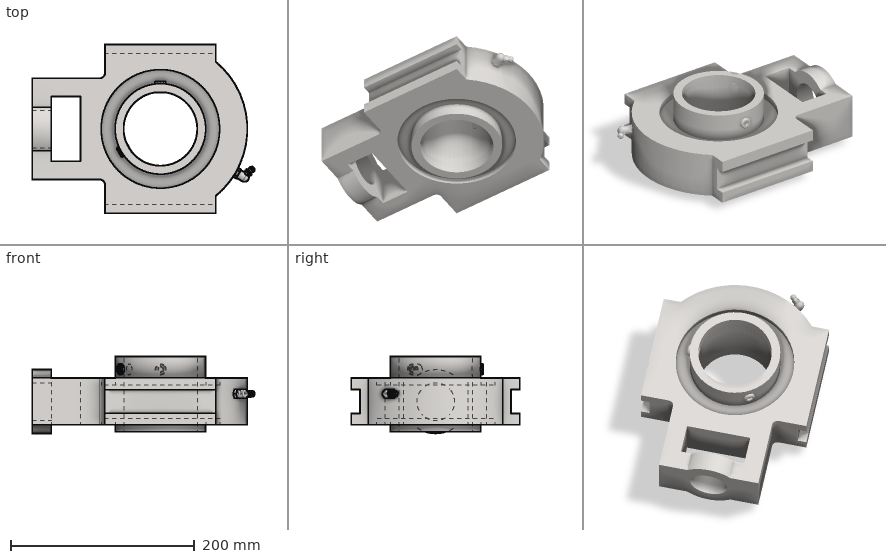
import cadquery as cq
import math


overall_length = 242.5

plate_thickness = 51.2
plate_width = 184.0
plate_half_length = 60.5
nose_radius = 94.8
arm_end_x = -139.7
arm_width = 110.4
corner_radius = 6.0

groove_height = 26.0
groove_depth = 9.7

window_start_x = -118.8
window_end_x = -87.0
window_width = 70.3
boss_diameter = 69.8
boss_hole_diameter = 41.0

recess_diameter = 129.3
recess_depth = 7.3
ring_diameter = 98.7
ring_top_z = 49.2
ring_bottom_z = -33.2
bore_diameter = 80.0

set_screw_angles = (90, 210)
set_screw_z = 35.2
set_screw_diameter = 12.0
set_screw_inner_radius = 39.5
set_screw_outer_radius = 52.1
set_screw_chamfer = 1.0
socket_corner_diameter = 7.0
socket_depth = 2.5
socket_point_depth = 2.5
socket_point_diameter = 6.0

nipple_angle = -30
nipple_z = 8.2
nipple_root_radius = 89.7
nipple_hex_end_radius = 98.5
elbow_centre_radius = 105.7
nipple_body_diameter = 10.0
spout_start_radius = 104.8
spout_angle = 43
collar_diameter = 7.0
collar_round_length = 6.0
collar_length = 8.5
spout_neck_diameter = 4.9
spout_neck_length = 9.0
spout_head_diameter = 6.5
spout_head_start = 11.5
spout_head_end = 13.0
spout_tip_diameter = 4.0

spout_start_x = spout_start_radius * math.cos(math.radians(nipple_angle))
tip_overhang_x = spout_tip_diameter / 2 * math.sin(math.radians(spout_angle))
spout_reach_x = arm_end_x + overall_length - spout_start_x - tip_overhang_x
spout_length = spout_reach_x / math.cos(math.radians(spout_angle))


def cylinder_z(diameter, bottom_z, top_z):
    """Upright cylinder on the bore axis."""
    return cq.Workplane("XY").workplane(offset=bottom_z).circle(diameter / 2).extrude(top_z - bottom_z)


def block(x_start, x_end, width, height):
    """Box between two X positions, centred on Y and Z."""
    return cq.Workplane("XY").box(x_end - x_start, width, height).translate(((x_start + x_end) / 2, 0, 0))


def radial_plane(angle, radius, z, direction=None):
    """Plane at a polar position; its normal is horizontal and its local X axis is Z."""
    position = math.radians(angle)
    heading = math.radians(angle if direction is None else direction)
    return cq.Plane(
        origin=(radius * math.cos(position), radius * math.sin(position), z),
        xDir=(0, 0, 1),
        normal=(math.cos(heading), math.sin(heading), 0),
    )


def make_plate():
    """Plate with a narrow arm on -X and a round nose on +X."""
    half_width = plate_width / 2
    half_arm = arm_width / 2
    nose_half_chord = math.sqrt(nose_radius**2 - plate_half_length**2)
    plate = (
        cq.Workplane("XY")
        .workplane(offset=-plate_thickness / 2)
        .moveTo(arm_end_x, -half_arm)
        .lineTo(-plate_half_length, -half_arm)
        .lineTo(-plate_half_length, -half_width)
        .lineTo(plate_half_length, -half_width)
        .lineTo(plate_half_length, -nose_half_chord)
        .threePointArc((nose_radius, 0), (plate_half_length, nose_half_chord))
        .lineTo(plate_half_length, half_width)
        .lineTo(-plate_half_length, half_width)
        .lineTo(-plate_half_length, half_arm)
        .lineTo(arm_end_x, half_arm)
        .close()
        .extrude(plate_thickness)
    )
    inner_corners = cq.selectors.BoxSelector(
        (-plate_half_length - corner_radius, -half_arm - corner_radius, -plate_thickness),
        (-plate_half_length + corner_radius, half_arm + corner_radius, plate_thickness),
    )
    return plate.edges("|Z").edges(inner_corners).fillet(corner_radius)


def cut_guide_grooves(body):
    """Straight groove along each long side of the plate."""
    for side in (-1, 1):
        groove = cq.Workplane("XY").box(2 * plate_half_length, 2 * groove_depth, groove_height)
        body = body.cut(groove.translate((0, side * plate_width / 2, 0)))
    return body


def add_screw_end(body):
    """Round boss with a through hole into the rectangular window."""
    boss_length = window_start_x - arm_end_x
    end_face = cq.Workplane("YZ").workplane(offset=arm_end_x)
    body = body.union(end_face.circle(boss_diameter / 2).extrude(boss_length))
    body = body.cut(block(window_start_x, window_end_x, window_width, plate_thickness))
    return body.cut(end_face.circle(boss_hole_diameter / 2).extrude(boss_length))


def add_bearing(body):
    """Shallow recess on both faces, and the inner ring with its bore."""
    face_z = plate_thickness / 2
    floor_z = face_z - recess_depth
    body = body.cut(cylinder_z(recess_diameter, floor_z, face_z))
    body = body.cut(cylinder_z(recess_diameter, -face_z, -floor_z))
    body = body.union(cylinder_z(ring_diameter, ring_bottom_z, ring_top_z))
    return body.cut(cylinder_z(bore_diameter, ring_bottom_z, ring_top_z))


def make_set_screw(angle):
    """Radial screw with a chamfered outer end and a hexagon socket that ends in a cone."""
    length = set_screw_outer_radius - set_screw_inner_radius
    plane = radial_plane(angle, set_screw_inner_radius, set_screw_z)
    outer_end = cq.selectors.DirectionMinMaxSelector(plane.zDir)
    screw = cq.Workplane(plane).circle(set_screw_diameter / 2).extrude(length)
    screw = screw.faces(outer_end).chamfer(set_screw_chamfer)

    socket_floor = cq.Workplane(plane).workplane(offset=length - socket_depth)
    socket = socket_floor.polygon(6, socket_corner_diameter).extrude(socket_depth)
    point = cq.Solid.makeCone(
        socket_point_diameter / 2, 0, socket_point_depth, socket_floor.plane.origin, -plane.zDir
    )
    return screw.cut(socket).cut(cq.Workplane(point))


def hexagon_prism(plane, across_flats, length):
    """Hexagonal prism on a radial plane, with flats on its top and bottom."""
    corner_diameter = across_flats / math.cos(math.pi / 6)
    return cq.Workplane(plane).transformed(rotate=(0, 0, 30)).polygon(6, corner_diameter).extrude(length)


def make_spout():
    """Nozzle of the nipple: round and hexagonal collar, neck and tapered head."""
    plane = radial_plane(nipple_angle, spout_start_radius, nipple_z, spout_angle)
    profile = [
        (0, 0),
        (collar_diameter / 2, 0),
        (collar_diameter / 2, collar_round_length),
        (spout_neck_diameter / 2, collar_round_length),
        (spout_neck_diameter / 2, spout_neck_length),
        (spout_head_diameter / 2, spout_head_start),
        (spout_head_diameter / 2, spout_head_end),
        (spout_tip_diameter / 2, spout_length),
        (0, spout_length),
    ]
    turned = cq.Workplane("XY").polyline(profile).close().revolve(360, (0, 0), (0, 1))
    turned = turned.rotate((0, 0, 0), (1, 0, 0), 90)
    turned = cq.Workplane(turned.val().located(cq.Location(plane)))
    hexagon_plane = cq.Workplane(plane).workplane(offset=collar_round_length).plane
    hexagon = hexagon_prism(hexagon_plane, collar_diameter, collar_length - collar_round_length)
    return turned.union(hexagon)


def make_nipple():
    """Hexagonal foot, round body with a ball end, and the side spout."""
    root = radial_plane(nipple_angle, nipple_root_radius, nipple_z)
    elbow = radial_plane(nipple_angle, elbow_centre_radius, nipple_z)
    foot = hexagon_prism(root, nipple_body_diameter, nipple_hex_end_radius - nipple_root_radius)
    body = cq.Workplane(root).circle(nipple_body_diameter / 2).extrude(elbow_centre_radius - nipple_root_radius)
    ball = cq.Workplane(elbow).sphere(nipple_body_diameter / 2)
    return foot.union(body).union(ball).union(make_spout())


result = make_plate()
result = cut_guide_grooves(result)
result = add_screw_end(result)
result = add_bearing(result)
for screw_angle in set_screw_angles:
    result = result.union(make_set_screw(screw_angle))
result = result.union(make_nipple())